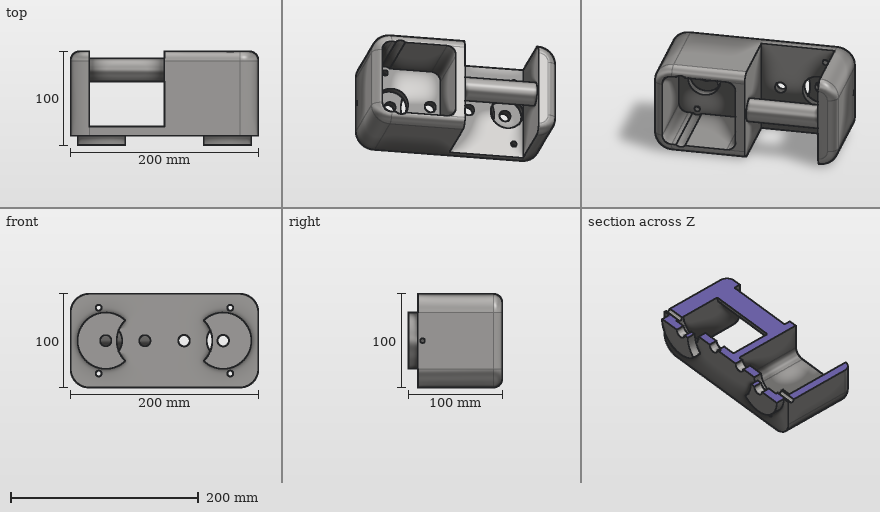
import cadquery as cq

BODY_LENGTH = 200.0
BODY_DEPTH = 90.0
BODY_HEIGHT = 100.0
CORNER_RADIUS = 20.0
BACK_FILLET = 10.0

FRONT_PLATE = 10.0
SIDE_WALL = 20.0
OPENING_START_X = SIDE_WALL - BODY_LENGTH / 2
OPENING_END_X = 0.0

POCKET_WALL = 10.0
POCKET_CORNER_RADIUS = CORNER_RADIUS - POCKET_WALL

BAR_DIAMETER = 25.0
BAR_Y = 70.0

STATION_SPAN = 125.0
STATION_PITCH = STATION_SPAN / 3
OUTER_X = STATION_SPAN / 2
INNER_X = OUTER_X - STATION_PITCH
STATION_HOLE_DIAMETER = 12.0
LARGE_BORE_DIAMETER = 35.0

DISC_DIAMETER = 60.0
DISC_THICKNESS = 10.0

BOLT_X = 70.0
BOLT_Z = 35.0
BOLT_DIAMETER = 6.0
BOLT_ACCESS_DIAMETER = 14.0

CROSS_HOLE_DIAMETER = 5.0
CROSS_HOLE_Y = FRONT_PLATE / 2


def cylinder_y(x, z, diameter, y_start, y_end):
    """Cylinder parallel to the y axis."""
    start = cq.Vector(x, y_start, z)
    return cq.Workplane(cq.Solid.makeCylinder(diameter / 2, y_end - y_start, start, cq.Vector(0, 1, 0)))


def cylinder_x(y, z, diameter, x_start, x_end):
    """Cylinder parallel to the x axis."""
    start = cq.Vector(x_start, y, z)
    return cq.Workplane(cq.Solid.makeCylinder(diameter / 2, x_end - x_start, start, cq.Vector(1, 0, 0)))


def make_body():
    """Rounded block with a filleted back rim."""
    block = cq.Workplane("XY").box(BODY_LENGTH, BODY_DEPTH, BODY_HEIGHT)
    block = block.translate((0, BODY_DEPTH / 2, 0))
    block = block.edges("|Y").fillet(CORNER_RADIUS)
    return block.faces(">Y").edges().fillet(BACK_FILLET)


def make_rear_cutter(start_x, end_x, height):
    """Box from the back of the front plate to the back face."""
    length = end_x - start_x
    depth = BODY_DEPTH - FRONT_PLATE
    cutter = cq.Workplane("XY").box(length, depth, height)
    return cutter.translate((start_x + length / 2, FRONT_PLATE + depth / 2, 0))


def make_opening():
    """Cutter that leaves the front plate and the left side wall."""
    return make_rear_cutter(OPENING_START_X, OPENING_END_X, BODY_HEIGHT)


def make_pocket():
    """Round-cornered cutter that hollows the closed half."""
    start_x = OPENING_END_X + POCKET_WALL
    end_x = BODY_LENGTH / 2 - POCKET_WALL
    pocket = make_rear_cutter(start_x, end_x, BODY_HEIGHT - 2 * POCKET_WALL)
    return pocket.edges("|Y").fillet(POCKET_CORNER_RADIUS)


def make_bar():
    """Round bar between the two faces of the opening."""
    return cylinder_x(BAR_Y, 0, BAR_DIAMETER, OPENING_START_X, OPENING_END_X)


def make_disc(side):
    """Disc on an outer station, with a bite of the same diameter centred on the inner station."""
    disc = cylinder_y(side * OUTER_X, 0, DISC_DIAMETER, -DISC_THICKNESS, 0)
    bite = cylinder_y(side * INNER_X, 0, DISC_DIAMETER, -DISC_THICKNESS, 0)
    hole = cylinder_y(side * OUTER_X, 0, STATION_HOLE_DIAMETER, -DISC_THICKNESS, 0)
    return disc.cut(bite).cut(hole)


def drill_plate(body, side):
    """Large bore, small hole and two bolt holes through the front plate."""
    body = body.cut(cylinder_y(side * OUTER_X, 0, LARGE_BORE_DIAMETER, 0, FRONT_PLATE))
    body = body.cut(cylinder_y(side * INNER_X, 0, STATION_HOLE_DIAMETER, 0, FRONT_PLATE))
    for z in (-BOLT_Z, BOLT_Z):
        body = body.cut(cylinder_y(side * BOLT_X, z, BOLT_DIAMETER, 0, FRONT_PLATE))
    return body


def cut_bolt_access(body):
    """Wide clearance behind the right bolt holes, which notches the pocket wall."""
    for z in (-BOLT_Z, BOLT_Z):
        body = body.cut(cylinder_y(BOLT_X, z, BOLT_ACCESS_DIAMETER, FRONT_PLATE, BODY_DEPTH))
    return body


def drill_cross_hole(body, side):
    """Hole from a side face to the centre of the large bore."""
    start_x, end_x = sorted((side * BODY_LENGTH / 2, side * OUTER_X))
    return body.cut(cylinder_x(CROSS_HOLE_Y, 0, CROSS_HOLE_DIAMETER, start_x, end_x))


result = make_body().cut(make_opening()).cut(make_pocket())
result = cut_bolt_access(result)
for side in (-1, 1):
    result = drill_plate(result, side)
    result = drill_cross_hole(result, side)
    result = result.union(make_disc(side))
result = result.union(make_bar())